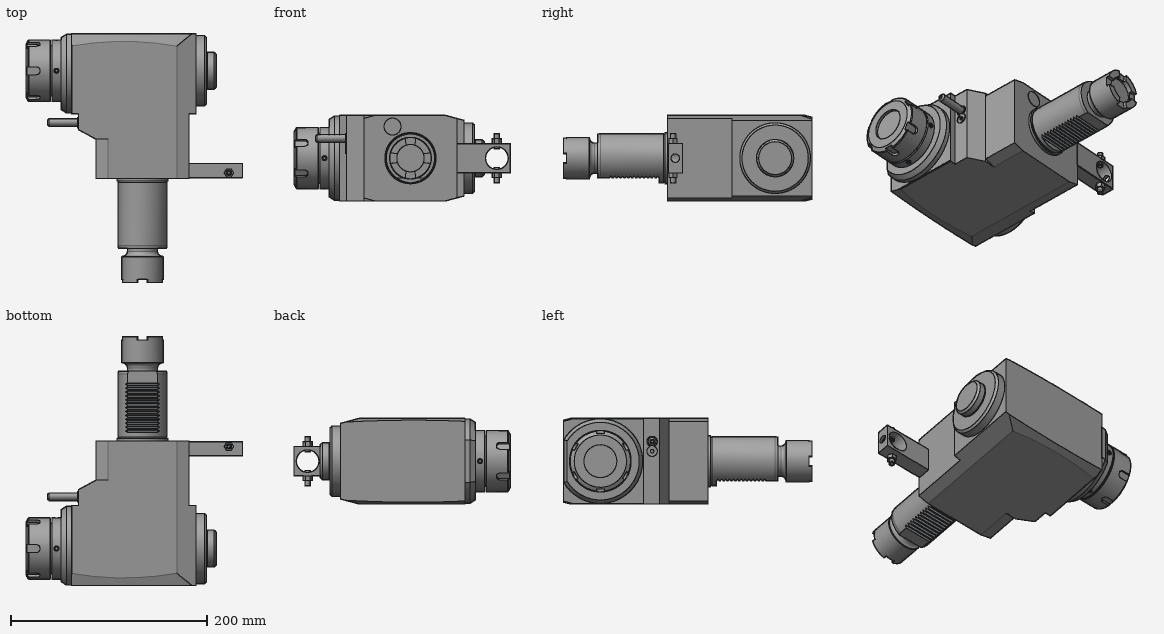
import cadquery as cq
import math


BODY_HALF_HEIGHT = 44.0
BODY_REAR_Y = 147.8
HEAD_LEFT_X = -72.6
HEAD_RIGHT_X = 54.9
HEAD_FRONT_Y = 66.0
SHOULDER_X = -65.3
SHOULDER_FRONT_Y = 49.8
STEM_HALF_WIDTH = 47.5
STEM_TOP_Y = 40.1
HEAD_EDGE_CHAMFER = 0.8
BEVEL_START_X = 35.0
BEVEL_SLOPE = math.tan(math.radians(15))
CROWN_CENTER_X = -19.0
CROWN_RADIUS = 304.8
CROWN_REAR_Y = 140.0
OVERSIZE = 25.5

SPINDLE_Y = 110.0
NUT_FRONT_X = -118.9
NUT_BACK_X = -93.7
NUT_RADIUS = 31.5
NUT_FACE_RADIUS = 26.7
NUT_EDGE_RADIUS = 30.7
NUT_CHAMFER_LENGTH = 2.0
NUT_EDGE_LENGTH = 1.0
NUT_BACK_CHAMFER = 0.8
NUT_GAP = 1.3
NUT_GAP_DEPTH = 5.5
COLLAR_FRONT_X = -83.0
COLLAR_RADIUS = 43.2
COLLAR_FLAT_Y = 147.3
COLLAR_CHAMFER_LENGTH = 5.5
COLLAR_CHAMFER_DEPTH = 3.5
FACE_RECESS_RADIUS = 16.8
FACE_RECESS_DEPTH = 2.8
NUT_SLOT_COUNT = 6
NUT_SLOT_WIDTH = 8.1
NUT_SLOT_END_X = -104.5
NUT_SLOT_DEPTH = 3.0
RING_HOLE_COUNT = 4
RING_HOLE_RADIUS = 1.5
RING_HOLE_DEPTH = 3.0
RING_COUNTERBORE_RADIUS = 2.5
RING_COUNTERBORE_DEPTH = 1.3

COVER_RADIUS = 36.0
COVER_END_X = 65.5
COVER_CHAMFER = 2.3
KNOB_RADIUS = 19.0
KNOB_END_X = 75.5
KNOB_CHAMFER = 2.3
KNOB_GAP = 1.0
KNOB_GAP_DEPTH = 0.8

TUBE_Y = 57.2
TUBE_Z = 20.0
TUBE_RADIUS = 4.0
TUBE_END_X = -97.0
TUBE_CHAMFER = 1.8
TUBE_BORE_RADIUS = 1.5
TUBE_BORE_DEPTH = 5.0
SEAT_RADIUS = 5.3
SEAT_THICKNESS = 0.8
PLUG_Z = 10.2
PLUG_SOCKET_RADIUS = 1.8

SHANK_RADIUS = 25.1
SHANK_END_Y = -71.0
SHANK_END_CHAMFER_LENGTH = 2.8
SHANK_END_RADIUS = 24.6
FLANGE_RADIUS = 26.2
FLANGE_THICKNESS = 2.5
RELIEF_RADIUS = 24.5
RELIEF_END_Y = -4.0
RACK_START_Y = -8.5
RACK_FLAT_Z = -20.0
TOOTH_COUNT = 13
FIRST_GROOVE_Y = -10.0
LAST_GROOVE_Y = -57.7
GROOVE_WIDTH = 2.8
GROOVE_DEPTH = 1.8

NECK_RADIUS = 15.5
FLARE_START_Y = -74.2
FLARE_RADIUS = 5.0
COUPLING_START_Y = -79.2
COUPLING_RADIUS = 21.3
COUPLING_BACK_CHAMFER = 0.5
COUPLING_END_Y = -106.2
COUPLING_BORE_RADIUS = 14.0
COUPLING_BORE_DEPTH = 5.0
DRIVE_SLOT_COUNT = 4
DRIVE_SLOT_DEPTH = 3.3
DRIVE_SLOT_OVERLAP = 1.8
DRIVE_SLOT_INNER_WIDTH = 8.6
DRIVE_SLOT_OUTER_WIDTH = 11.2

FACE_PLUG_X = -18.3
FACE_PLUG_Z = 32.3
FACE_PLUG_RADIUS = 8.6
FACE_PLUG_RECESS = 0.3

BRACKET_END_X = 102.0
BRACKET_FRONT_Y = 0.8
BRACKET_REAR_Y = 15.5
BRACKET_HALF_HEIGHT = 15.0
BRACKET_CHAMFER = 0.5
BRACKET_HOLE_X = 88.1
BRACKET_HOLE_RADIUS = 11.5
END_HOLE_RADIUS = 4.3
SCREW_Y = 5.8
SCREW_RADIUS = 2.8
SCREW_INNER_Z = 9.5
SCREW_OUTER_Z = 25.1
SCREW_SOCKET_RADIUS = 1.5
SCREW_SOCKET_DEPTH = 2.5
HEX_NUT_DIAMETER = 9.7
HEX_NUT_OUTER_Z = 19.8


def cylinder_along_x(radius, start_x, end_x, y=SPINDLE_Y, z=0.0):
    """Cylinder along X."""
    return (
        cq.Workplane("YZ", origin=(start_x, y, z))
        .circle(radius)
        .extrude(end_x - start_x)
    )


def side_bevel():
    """Wedge removed along the upper right edge of the body."""
    drop = (HEAD_RIGHT_X + OVERSIZE - BEVEL_START_X) * BEVEL_SLOPE
    top = BODY_HALF_HEIGHT
    return (
        cq.Workplane("XZ")
        .moveTo(BEVEL_START_X, top)
        .lineTo(HEAD_RIGHT_X + OVERSIZE, top)
        .lineTo(HEAD_RIGHT_X + OVERSIZE, top - drop)
        .close()
        .extrude(-BODY_REAR_Y)
    )


def crown_bevel():
    """Conical ring removed along the upper rear edge of the body."""
    drop = OVERSIZE * BEVEL_SLOPE
    top = BODY_HALF_HEIGHT
    return (
        cq.Workplane("XZ", origin=(CROWN_CENTER_X, CROWN_REAR_Y - CROWN_RADIUS, 0))
        .moveTo(CROWN_RADIUS, top)
        .lineTo(CROWN_RADIUS + OVERSIZE, top)
        .lineTo(CROWN_RADIUS + OVERSIZE, top - drop)
        .close()
        .revolve(360, (0, 0, 0), (0, 1, 0))
    )


def make_body():
    outline = [
        (-STEM_HALF_WIDTH, 0),
        (STEM_HALF_WIDTH, 0),
        (STEM_HALF_WIDTH, HEAD_FRONT_Y),
        (HEAD_RIGHT_X, HEAD_FRONT_Y),
        (HEAD_RIGHT_X, BODY_REAR_Y),
        (HEAD_LEFT_X, BODY_REAR_Y),
        (HEAD_LEFT_X, HEAD_FRONT_Y),
        (SHOULDER_X, HEAD_FRONT_Y),
        (SHOULDER_X, SHOULDER_FRONT_Y),
        (-STEM_HALF_WIDTH, STEM_TOP_Y),
    ]
    body = (
        cq.Workplane("XY")
        .polyline(outline)
        .close()
        .extrude(BODY_HALF_HEIGHT, both=True)
        .faces("<X")
        .edges("|Y")
        .chamfer(HEAD_EDGE_CHAMFER)
    )
    right_bevel = side_bevel()
    stem_region = cq.Workplane("XY").box(
        2 * STEM_HALF_WIDTH, STEM_TOP_Y, 2 * BODY_HALF_HEIGHT
    ).translate((0, STEM_TOP_Y / 2, 0))
    left_bevel = right_bevel.mirror("YZ").intersect(stem_region)
    for bevel in (right_bevel, left_bevel, crown_bevel()):
        body = body.cut(bevel).cut(bevel.mirror("XY"))
    face_plug = (
        cq.Workplane("XZ", origin=(FACE_PLUG_X, 0, FACE_PLUG_Z))
        .circle(FACE_PLUG_RADIUS)
        .extrude(-FACE_PLUG_RECESS)
    )
    return body.cut(face_plug)


def make_collar():
    """Round collar with a flat towards the rear; the chamfer follows the flat too."""
    collar = cylinder_along_x(COLLAR_RADIUS, COLLAR_FRONT_X, HEAD_LEFT_X)
    collar = collar.faces("<X").chamfer(COLLAR_CHAMFER_LENGTH, COLLAR_CHAMFER_DEPTH)
    chamfer_end_x = COLLAR_FRONT_X + COLLAR_CHAMFER_LENGTH
    behind_flat = (
        cq.Workplane("XY")
        .moveTo(COLLAR_FRONT_X, COLLAR_FLAT_Y - COLLAR_CHAMFER_DEPTH)
        .lineTo(chamfer_end_x, COLLAR_FLAT_Y)
        .lineTo(HEAD_LEFT_X, COLLAR_FLAT_Y)
        .lineTo(HEAD_LEFT_X, COLLAR_FLAT_Y + OVERSIZE)
        .lineTo(COLLAR_FRONT_X, COLLAR_FLAT_Y + OVERSIZE)
        .close()
        .extrude(COLLAR_RADIUS, both=True)
    )
    return collar.cut(behind_flat)


def nut_slot():
    """Round-ended wrench slot, cut into the nut from above."""
    half = NUT_SLOT_WIDTH / 2
    return (
        cq.Workplane("XY", origin=(0, SPINDLE_Y, NUT_RADIUS - NUT_SLOT_DEPTH))
        .moveTo(NUT_FRONT_X, -half)
        .lineTo(NUT_SLOT_END_X - half, -half)
        .threePointArc((NUT_SLOT_END_X, 0), (NUT_SLOT_END_X - half, half))
        .lineTo(NUT_FRONT_X, half)
        .close()
        .extrude(OVERSIZE)
    )


def ring_hole():
    """Counterbored radial hole in the ring behind the nut."""
    ring_middle_x = (NUT_BACK_X + NUT_GAP + COLLAR_FRONT_X) / 2
    return (
        cq.Workplane("XY", origin=(ring_middle_x, SPINDLE_Y, NUT_RADIUS - RING_HOLE_DEPTH))
        .circle(RING_HOLE_RADIUS)
        .extrude(OVERSIZE)
        .faces("<Z")
        .workplane(offset=RING_COUNTERBORE_DEPTH - RING_HOLE_DEPTH)
        .circle(RING_COUNTERBORE_RADIUS)
        .extrude(-OVERSIZE)
    )


def around_spindle(shape, count):
    """Copies of a shape spaced evenly around the spindle axis."""
    axis_start = (0, SPINDLE_Y, 0)
    axis_end = (1, SPINDLE_Y, 0)
    return [shape.rotate(axis_start, axis_end, 360 * i / count) for i in range(count)]


def make_clamping_nut():
    ring_front_x = NUT_BACK_X + NUT_GAP
    gap_radius = NUT_RADIUS - NUT_GAP_DEPTH
    chamfer_end_x = NUT_FRONT_X + NUT_CHAMFER_LENGTH
    profile = (
        cq.Workplane("XY", origin=(0, SPINDLE_Y, 0))
        .moveTo(NUT_FRONT_X, 0)
        .lineTo(NUT_FRONT_X, NUT_FACE_RADIUS)
        .lineTo(chamfer_end_x, NUT_EDGE_RADIUS)
        .lineTo(chamfer_end_x + NUT_EDGE_LENGTH, NUT_RADIUS)
        .lineTo(NUT_BACK_X - NUT_BACK_CHAMFER, NUT_RADIUS)
        .lineTo(NUT_BACK_X, NUT_RADIUS - NUT_BACK_CHAMFER)
        .lineTo(NUT_BACK_X, 0)
        .close()
    )
    nut = profile.revolve(360, (0, 0, 0), (1, 0, 0))
    nut = nut.union(cylinder_along_x(gap_radius, NUT_BACK_X, ring_front_x))
    nut = nut.union(cylinder_along_x(NUT_RADIUS, ring_front_x, COLLAR_FRONT_X))
    nut = nut.cut(
        cylinder_along_x(FACE_RECESS_RADIUS, NUT_FRONT_X, NUT_FRONT_X + FACE_RECESS_DEPTH)
    )
    for slot in around_spindle(nut_slot(), NUT_SLOT_COUNT):
        nut = nut.cut(slot)
    for hole in around_spindle(ring_hole(), RING_HOLE_COUNT):
        nut = nut.cut(hole)
    return nut


def make_rear_cover():
    cover = cylinder_along_x(COVER_RADIUS, HEAD_RIGHT_X, COVER_END_X)
    cover = cover.faces(">X").chamfer(COVER_CHAMFER)
    knob_start_x = COVER_END_X + KNOB_GAP
    knob = cylinder_along_x(KNOB_RADIUS, knob_start_x, KNOB_END_X)
    knob = knob.faces(">X").chamfer(KNOB_CHAMFER)
    neck = cylinder_along_x(KNOB_RADIUS - KNOB_GAP_DEPTH, COVER_END_X, knob_start_x)
    return cover.union(neck).union(knob)


def make_coolant_outlet():
    """Coolant tube on its seat, with a socketed plug below it."""
    seat_x = SHOULDER_X - SEAT_THICKNESS
    tube = cylinder_along_x(TUBE_RADIUS, TUBE_END_X, SHOULDER_X, TUBE_Y, TUBE_Z)
    tube = tube.faces("<X").chamfer(TUBE_CHAMFER)
    bore_end_x = TUBE_END_X + TUBE_BORE_DEPTH
    tube = tube.cut(
        cylinder_along_x(TUBE_BORE_RADIUS, TUBE_END_X, bore_end_x, TUBE_Y, TUBE_Z)
    )
    seat = cylinder_along_x(SEAT_RADIUS, seat_x, SHOULDER_X, TUBE_Y, TUBE_Z)
    plug = cylinder_along_x(SEAT_RADIUS, seat_x, SHOULDER_X, TUBE_Y, PLUG_Z)
    socket = cylinder_along_x(PLUG_SOCKET_RADIUS, seat_x, SHOULDER_X, TUBE_Y, PLUG_Z)
    return tube.union(seat).union(plug.cut(socket))


def rack_cut():
    """Flat along the underside of the shank with V grooves above it."""
    length = RACK_START_Y - SHANK_END_Y
    cut = cq.Workplane("XY").box(
        2 * SHANK_RADIUS, length, OVERSIZE, centered=(True, False, False)
    ).translate((0, SHANK_END_Y, RACK_FLAT_Z - OVERSIZE))
    pitch = (LAST_GROOVE_Y - FIRST_GROOVE_Y) / (TOOTH_COUNT - 1)
    for i in range(TOOTH_COUNT):
        groove_y = FIRST_GROOVE_Y + i * pitch
        groove = (
            cq.Workplane("YZ")
            .moveTo(groove_y - GROOVE_WIDTH / 2, RACK_FLAT_Z)
            .lineTo(groove_y, RACK_FLAT_Z + GROOVE_DEPTH)
            .lineTo(groove_y + GROOVE_WIDTH / 2, RACK_FLAT_Z)
            .close()
            .extrude(SHANK_RADIUS, both=True)
        )
        cut = cut.union(groove)
    return cut


def make_shank():
    profile = (
        cq.Workplane("XY")
        .moveTo(0, 0)
        .lineTo(FLANGE_RADIUS, 0)
        .lineTo(FLANGE_RADIUS, -FLANGE_THICKNESS)
        .lineTo(RELIEF_RADIUS, -FLANGE_THICKNESS)
        .lineTo(SHANK_RADIUS, RELIEF_END_Y)
        .lineTo(SHANK_RADIUS, SHANK_END_Y + SHANK_END_CHAMFER_LENGTH)
        .lineTo(SHANK_END_RADIUS, SHANK_END_Y)
        .lineTo(0, SHANK_END_Y)
        .close()
    )
    return profile.revolve(360, (0, 0, 0), (0, 1, 0)).cut(rack_cut())


def drive_slot():
    """Radial slot in the coupling end face, slightly wider towards the outside."""
    inner_half = DRIVE_SLOT_INNER_WIDTH / 2
    outer_half = DRIVE_SLOT_OUTER_WIDTH / 2
    inner_z = COUPLING_BORE_RADIUS - DRIVE_SLOT_OVERLAP
    outer_z = COUPLING_RADIUS
    return (
        cq.Workplane("XZ", origin=(0, COUPLING_END_Y, 0))
        .moveTo(-inner_half, inner_z)
        .lineTo(inner_half, inner_z)
        .lineTo(outer_half, outer_z)
        .lineTo(-outer_half, outer_z)
        .close()
        .extrude(-DRIVE_SLOT_DEPTH)
    )


def make_coupling():
    flare_middle = FLARE_RADIUS * math.sqrt(0.5)
    profile = (
        cq.Workplane("XY")
        .moveTo(0, SHANK_END_Y)
        .lineTo(NECK_RADIUS, SHANK_END_Y)
        .lineTo(NECK_RADIUS, FLARE_START_Y)
        .threePointArc(
            (NECK_RADIUS + FLARE_RADIUS - flare_middle, FLARE_START_Y - flare_middle),
            (NECK_RADIUS + FLARE_RADIUS, COUPLING_START_Y),
        )
        .lineTo(COUPLING_RADIUS - COUPLING_BACK_CHAMFER, COUPLING_START_Y)
        .lineTo(COUPLING_RADIUS, COUPLING_START_Y - COUPLING_BACK_CHAMFER)
        .lineTo(COUPLING_RADIUS, COUPLING_END_Y)
        .lineTo(0, COUPLING_END_Y)
        .close()
    )
    coupling = profile.revolve(360, (0, 0, 0), (0, 1, 0))
    bore = (
        cq.Workplane("XZ", origin=(0, COUPLING_END_Y, 0))
        .circle(COUPLING_BORE_RADIUS)
        .extrude(-COUPLING_BORE_DEPTH)
    )
    coupling = coupling.cut(bore)
    for i in range(DRIVE_SLOT_COUNT):
        angle = 360 * i / DRIVE_SLOT_COUNT
        coupling = coupling.cut(drive_slot().rotate((0, 0, 0), (0, 1, 0), angle))
    return coupling


def clamping_screw():
    """Upper screw, socketed at both ends, with its hexagon nut."""
    screw = (
        cq.Workplane("XY", origin=(BRACKET_HOLE_X, SCREW_Y, SCREW_INNER_Z))
        .circle(SCREW_RADIUS)
        .extrude(SCREW_OUTER_Z - SCREW_INNER_Z)
    )
    for end_face in ("<Z", ">Z"):
        screw = (
            screw.faces(end_face)
            .workplane()
            .circle(SCREW_SOCKET_RADIUS)
            .cutBlind(-SCREW_SOCKET_DEPTH)
        )
    nut = (
        cq.Workplane("XY", origin=(BRACKET_HOLE_X, SCREW_Y, BRACKET_HALF_HEIGHT))
        .polygon(6, HEX_NUT_DIAMETER)
        .extrude(HEX_NUT_OUTER_Z - BRACKET_HALF_HEIGHT)
    )
    return screw.union(nut)


def make_bracket():
    length = BRACKET_END_X - STEM_HALF_WIDTH
    depth = BRACKET_REAR_Y - BRACKET_FRONT_Y
    bracket = (
        cq.Workplane("XY")
        .box(length, depth, 2 * BRACKET_HALF_HEIGHT, centered=(False, False, True))
        .translate((STEM_HALF_WIDTH, BRACKET_FRONT_Y, 0))
        .faces("<Y")
        .edges("not <X")
        .chamfer(BRACKET_CHAMFER)
    )
    hole = (
        cq.Workplane("XZ", origin=(BRACKET_HOLE_X, BRACKET_FRONT_Y, 0))
        .circle(BRACKET_HOLE_RADIUS)
        .extrude(-depth)
    )
    middle_y = (BRACKET_FRONT_Y + BRACKET_REAR_Y) / 2
    end_hole = cylinder_along_x(END_HOLE_RADIUS, BRACKET_HOLE_X, BRACKET_END_X, middle_y)
    screw = clamping_screw()
    return bracket.cut(hole).cut(end_hole).union(screw).union(screw.mirror("XY"))


result = make_body()
for component in (
    make_collar(),
    make_clamping_nut(),
    make_rear_cover(),
    make_coolant_outlet(),
    make_shank(),
    make_coupling(),
    make_bracket(),
):
    result = result.union(component)